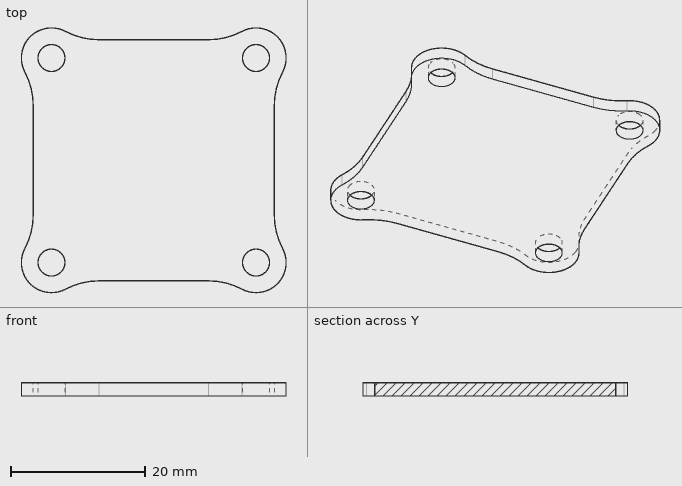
import cadquery as cq
import math

overall_size = 39.52
thickness = 2.0
lobe_radius = 4.5
hole_diameter = 4.0
body_size = 36.0
blend_radius = 10.5

lobe_offset = overall_size / 2 - lobe_radius
body_half = body_size / 2

blend_centre_v = body_half + blend_radius
centre_distance = lobe_radius + blend_radius
rise = blend_centre_v - lobe_offset
run = math.sqrt(centre_distance**2 - rise**2)
straight_half = lobe_offset - run
lobe_share = lobe_radius / centre_distance
tangent_u = lobe_offset - run * lobe_share
tangent_v = lobe_offset + rise * lobe_share

blend_half_angle = math.atan2(run, rise) / 2
blend_mid_u = straight_half + blend_radius * math.sin(blend_half_angle)
blend_mid_v = blend_centre_v - blend_radius * math.cos(blend_half_angle)
lobe_tip = lobe_offset + lobe_radius / math.sqrt(2)


def rotated(u, v, quarter_turns):
    """Turn a point clockwise about the plate centre."""
    for _ in range(quarter_turns):
        u, v = v, -u
    return u, v


def plate_outline():
    """Four sides, each a straight run and two blends, joined by round lobes."""
    outline = cq.Workplane("XY").moveTo(-straight_half, body_half)
    for turn in range(4):
        outline = (
            outline.lineTo(*rotated(straight_half, body_half, turn))
            .threePointArc(
                rotated(blend_mid_u, blend_mid_v, turn),
                rotated(tangent_u, tangent_v, turn),
            )
            .threePointArc(
                rotated(lobe_tip, lobe_tip, turn),
                rotated(tangent_v, tangent_u, turn),
            )
            .threePointArc(
                rotated(blend_mid_v, blend_mid_u, turn),
                rotated(body_half, straight_half, turn),
            )
        )
    return outline.close()


plate = plate_outline().extrude(thickness)

result = (
    plate.faces(">Z")
    .workplane(origin=(0, 0, thickness))
    .rect(2 * lobe_offset, 2 * lobe_offset, forConstruction=True)
    .vertices()
    .hole(hole_diameter)
)